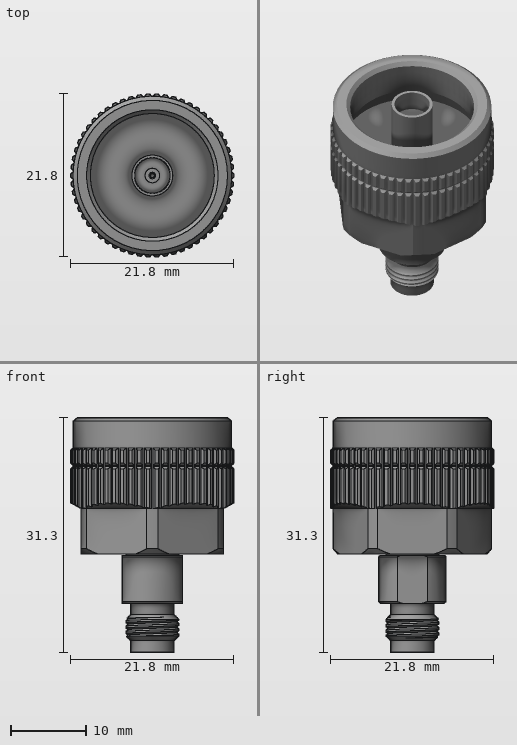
import cadquery as cq
import math


total_height = 31.3
nut_bottom = 13.1
hex_top = 19.2
groove_floor_bottom = 24.75
groove_floor_top = 24.9
knurl_top = 27.25

shell_radius = 10.58
rim_chamfer_width = 0.55
rim_chamfer_height = 0.47
hex_apothem = 9.5
hex_sides = 6
hex_taper = 61.0
hex_bottom_radius = 9.95
hex_chamfer_height = 0.72

tooth_count = 58
tooth_tip_radius = 10.9
tooth_root_depth = 0.05
tooth_root_radius = shell_radius - tooth_root_depth
tooth_tip_width = 0.45
tooth_root_width = 1.03

mouth_radius = 8.75
lip_radius = 8.25
mouth_chamfer_height = 0.47
relief_top = 26.55
relief_radius = 9.17
cavity_floor = 24.3

tube_radius = 2.72
tube_bore_radius = 2.35
tube_relief_radius = 2.45
tube_relief_top = 28.6
tube_floor = 28.33
contact_radius = 0.97
contact_height = 0.3
socket_radius = 0.28
socket_mouth_radius = 0.45
socket_depth = 1.88
drill_point_angle = 118.0

shoulder_radius = 3.55
collar_top = 12.93
collar_bottom = 6.5
collar_radius = 4.5
collar_flat_distance = 4.05
collar_top_chamfer = 0.2
collar_bottom_chamfer = 0.28
stem_radius = 2.9

thread_bottom = 1.55
thread_top = 5.05
thread_major_radius = 3.55
thread_minor_radius = 3.25
thread_pitch = 0.72
thread_opening = 0.47
thread_start = 1.22
thread_turns = 6


def revolved(points):
    """Solid of revolution about Z from (radius, height) points."""
    profile = cq.Workplane("XZ").polyline(points).close()
    return profile.revolve(360, (0, 0, 0), (0, 1, 0))


def cylinder(radius, bottom, top):
    return cq.Workplane("XY").workplane(offset=bottom).circle(radius).extrude(top - bottom)


def polar(radius, angle):
    """Point in the XY plane; the angle is in radians."""
    return (radius * math.cos(angle), radius * math.sin(angle))


def hexagon():
    """Hexagon at the top of the hex section, with flats facing +X and -X."""
    corner_diameter = 2 * hex_apothem / math.cos(math.pi / hex_sides)
    return (
        cq.Workplane("XY")
        .workplane(offset=hex_top)
        .transformed(rotate=(0, 0, 180 / hex_sides))
        .polygon(hex_sides, corner_diameter)
    )



def nut_rim():
    return revolved([
        (0, hex_top),
        (shell_radius, hex_top),
        (shell_radius, total_height - rim_chamfer_height),
        (shell_radius - rim_chamfer_width, total_height),
        (0, total_height),
    ])


def nut_hex():
    blank = revolved([
        (0, nut_bottom),
        (hex_bottom_radius, nut_bottom),
        (shell_radius, nut_bottom + hex_chamfer_height),
        (shell_radius, hex_top),
        (0, hex_top),
    ])
    return blank.intersect(hexagon().extrude(nut_bottom - hex_top))


def knurl_teeth():
    """Toothed disc with flat-topped ridges."""
    half_tip = math.asin(tooth_tip_width / 2 / tooth_tip_radius)
    half_root = math.asin(tooth_root_width / 2 / tooth_root_radius)
    points = []
    for i in range(tooth_count):
        middle = 2 * math.pi * i / tooth_count
        points += [
            polar(tooth_root_radius, middle - half_root),
            polar(tooth_tip_radius, middle - half_tip),
            polar(tooth_tip_radius, middle + half_tip),
            polar(tooth_root_radius, middle + half_root),
        ]
    disc = cq.Workplane("XY").workplane(offset=hex_top).polyline(points).close()
    return disc.extrude(knurl_top - hex_top)


def knurl():
    """Toothed disc cut into two bands, with 45-degree ends meeting the shell at the given heights."""
    tip_chamfer = tooth_tip_radius - shell_radius
    bands = revolved([
        (0, hex_top),
        (tooth_tip_radius, hex_top),
        (tooth_tip_radius, groove_floor_bottom - tip_chamfer),
        (tooth_root_radius, groove_floor_bottom + tooth_root_depth),
        (tooth_root_radius, groove_floor_top - tooth_root_depth),
        (tooth_tip_radius, groove_floor_top + tip_chamfer),
        (tooth_tip_radius, knurl_top - tip_chamfer),
        (shell_radius, knurl_top),
        (0, knurl_top),
    ])
    return knurl_teeth().intersect(bands)


def run_out():
    """Hexagonal funnel that carries the hexagon flats outward into the knurl."""
    return hexagon().extrude(total_height - hex_top, taper=-hex_taper)


def nut_cavity():
    return revolved([
        (0, cavity_floor),
        (relief_radius, cavity_floor),
        (relief_radius, relief_top),
        (lip_radius, relief_top),
        (lip_radius, total_height - mouth_chamfer_height),
        (mouth_radius, total_height),
        (0, total_height),
    ])


def make_nut():
    upper = nut_rim().union(knurl()).intersect(run_out())
    bore = cylinder(tube_radius, nut_bottom, cavity_floor)
    return nut_hex().union(upper).cut(nut_cavity()).cut(bore)



def body_blank():
    """Turned outside of the stem, shoulder and tube."""
    return revolved([
        (0, 0),
        (stem_radius, 0),
        (stem_radius, collar_bottom),
        (shoulder_radius, collar_bottom),
        (shoulder_radius, nut_bottom),
        (tube_radius, nut_bottom),
        (tube_radius, total_height),
        (0, total_height),
    ])


def collar():
    disc = revolved([
        (0, collar_bottom),
        (collar_radius - collar_bottom_chamfer, collar_bottom),
        (collar_radius, collar_bottom + collar_bottom_chamfer),
        (collar_radius, collar_top - collar_top_chamfer),
        (collar_radius - collar_top_chamfer, collar_top),
        (0, collar_top),
    ])
    between_flats = cq.Workplane("XY").box(2 * collar_flat_distance, 2 * total_height, 2 * total_height)
    return disc.intersect(between_flats)


def thread_groove():
    """Right-handed helical V groove."""
    depth = thread_major_radius - thread_minor_radius
    overshoot = 1.3
    half_width = thread_opening / 2 * overshoot
    outer_radius = thread_minor_radius + depth * overshoot
    path = cq.Wire.makeHelix(thread_pitch, thread_pitch * thread_turns, thread_minor_radius)
    groove = (
        cq.Workplane("XZ")
        .polyline([(thread_minor_radius, 0), (outer_radius, -half_width), (outer_radius, half_width)])
        .close()
        .sweep(cq.Workplane(obj=path), isFrenet=True)
    )
    return groove.translate((0, 0, thread_start))


def thread():
    """Threaded rod trimmed to a chamfered sleeve."""
    chamfer = thread_major_radius - stem_radius
    sleeve = revolved([
        (0, thread_bottom),
        (stem_radius, thread_bottom),
        (thread_major_radius, thread_bottom + chamfer),
        (thread_major_radius, thread_top - chamfer),
        (stem_radius, thread_top),
        (0, thread_top),
    ])
    rod = cylinder(thread_major_radius, 0, collar_bottom)
    return rod.cut(thread_groove()).intersect(sleeve)


def tube_bore():
    return revolved([
        (0, tube_floor),
        (tube_relief_radius, tube_floor),
        (tube_relief_radius, tube_relief_top),
        (tube_bore_radius, tube_relief_top),
        (tube_bore_radius, total_height),
        (0, total_height),
    ])


def contact_socket():
    """Countersunk blind hole with a drill point, in the top of the centre contact."""
    top = tube_floor + contact_height
    bottom = top - socket_depth
    point_height = socket_radius / math.tan(math.radians(drill_point_angle / 2))
    return revolved([
        (0, bottom - point_height),
        (socket_radius, bottom),
        (socket_radius, top - (socket_mouth_radius - socket_radius)),
        (socket_mouth_radius, top),
        (0, top),
    ])


def make_body():
    contact = cylinder(contact_radius, tube_floor, tube_floor + contact_height)
    outside = body_blank().union(collar()).union(thread())
    return outside.cut(tube_bore()).union(contact).cut(contact_socket())


nut = make_nut().solids()
body = make_body().solids()
result = cq.Compound.makeCompound([nut.val(), body.val()])